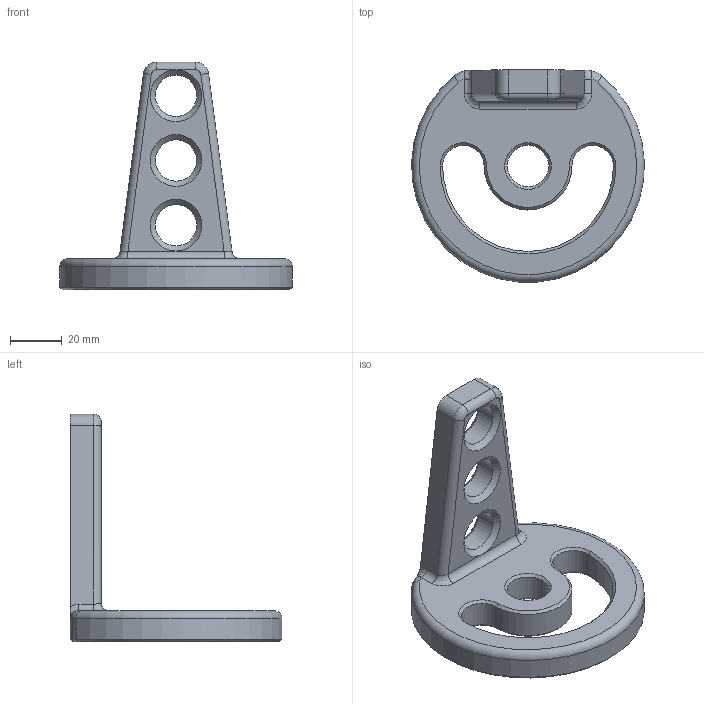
import cadquery as cq
import math

disc_radius = 45.0
disc_thickness = 12.0
back_y = 37.0
back_corner_radius = 10.0
edge_radius = 3.0

hole_radius = 8.0
slot_mid_radius = 25.0
slot_half_width = 8.0
disc_opening_chamfer = 1.0

upright_top_z = 88.0
upright_thickness = 12.0
upright_foot_half_width = 22.0
upright_top_half_width = 12.0
upright_corner_radius = 5.0

hole_pitch = 25.0
hole_count = 3
upright_hole_chamfer = 2.0

rear_allowance = 10.0
selection_margin = 0.1

front_y = back_y - upright_thickness


def make_disc():
    """Disc with its rear flat blended into the round rim."""
    blend_x = math.sqrt((disc_radius - back_corner_radius) ** 2 - (back_y - back_corner_radius) ** 2)
    blend_y = back_y - back_corner_radius
    rim_scale = disc_radius / (disc_radius - back_corner_radius)
    rim_x = blend_x * rim_scale
    rim_y = blend_y * rim_scale
    half_angle = (math.radians(90) + math.atan2(blend_y, blend_x)) / 2
    middle_x = blend_x + back_corner_radius * math.cos(half_angle)
    middle_y = blend_y + back_corner_radius * math.sin(half_angle)
    return (
        cq.Workplane("XY")
        .moveTo(-blend_x, back_y)
        .lineTo(blend_x, back_y)
        .threePointArc((middle_x, middle_y), (rim_x, rim_y))
        .threePointArc((0, -disc_radius), (-rim_x, rim_y))
        .threePointArc((-middle_x, middle_y), (-blend_x, back_y))
        .close()
        .extrude(disc_thickness)
    )


def make_upright_blank():
    """Tapered plate with rounded top corners, reaching down to Z = 0 and past the rear flat."""
    taper = (upright_foot_half_width - upright_top_half_width) / (upright_top_z - disc_thickness)
    base_half_width = upright_foot_half_width + taper * disc_thickness
    return (
        cq.Workplane("XZ", origin=(0, back_y + rear_allowance, 0))
        .moveTo(-base_half_width, 0)
        .lineTo(base_half_width, 0)
        .lineTo(upright_top_half_width, upright_top_z)
        .lineTo(-upright_top_half_width, upright_top_z)
        .close()
        .extrude(upright_thickness + rear_allowance)
        .edges("|Y and >Z")
        .fillet(upright_corner_radius)
    )


def round_upright(body):
    """Roll the front edges of the upright and fill its foot against the rolled disc."""
    front_edges = cq.selectors.BoxSelector(
        (-disc_radius, front_y - selection_margin, disc_thickness - selection_margin),
        (disc_radius, front_y + selection_margin, upright_top_z + selection_margin),
    )
    side_foot_y = (front_y + back_y - edge_radius) / 2
    right_foot = (upright_foot_half_width, side_foot_y, disc_thickness)
    left_foot = (-upright_foot_half_width, side_foot_y, disc_thickness)
    edges = (
        front_edges
        + cq.selectors.NearestToPointSelector(right_foot)
        + cq.selectors.NearestToPointSelector(left_foot)
    )
    return body.edges(edges).fillet(edge_radius)


def trim_rear(body):
    """Cut everything back to the rear flat and, below the rolled rim, to the disc's outline."""
    roll_start_z = disc_thickness - edge_radius
    above_roll_start = (
        cq.Workplane("XY")
        .box(
            2 * disc_radius,
            back_y + disc_radius,
            upright_top_z - roll_start_z,
            centered=(True, False, False),
        )
        .translate((0, -disc_radius, roll_start_z))
    )
    return body.intersect(make_disc().union(above_roll_start))


def cut_disc_openings(body):
    """Centre hole and half-ring slot, chamfered on both faces of the disc."""
    inner_radius = slot_mid_radius - slot_half_width
    outer_radius = slot_mid_radius + slot_half_width
    slot = (
        cq.Workplane("XY")
        .moveTo(-outer_radius, 0)
        .threePointArc((0, -outer_radius), (outer_radius, 0))
        .threePointArc((slot_mid_radius, slot_half_width), (inner_radius, 0))
        .threePointArc((0, -inner_radius), (-inner_radius, 0))
        .threePointArc((-slot_mid_radius, slot_half_width), (-outer_radius, 0))
        .close()
        .extrude(disc_thickness)
    )
    hole = cq.Workplane("XY").circle(hole_radius).extrude(disc_thickness)
    opened = body.cut(slot).cut(hole)
    around_openings = cq.selectors.BoxSelector(
        (-outer_radius - selection_margin, -outer_radius - selection_margin, -selection_margin),
        (outer_radius + selection_margin, slot_half_width + selection_margin, disc_thickness + selection_margin),
    )
    return opened.edges(around_openings).edges("not |Z").chamfer(disc_opening_chamfer)


def cut_upright_holes(body):
    """Row of through holes, each countersunk on both faces of the upright."""
    mouth_radius = hole_radius + upright_hole_chamfer
    for index in range(1, hole_count + 1):
        hole = (
            cq.Workplane("XY", origin=(0, front_y, index * hole_pitch))
            .moveTo(0, 0)
            .lineTo(mouth_radius, 0)
            .lineTo(hole_radius, upright_hole_chamfer)
            .lineTo(hole_radius, upright_thickness - upright_hole_chamfer)
            .lineTo(mouth_radius, upright_thickness)
            .lineTo(0, upright_thickness)
            .close()
            .revolve(360, (0, 0, 0), (0, 1, 0))
        )
        body = body.cut(hole)
    return body


rolled_disc = make_disc().faces(">Z").edges().fillet(edge_radius)
body = round_upright(rolled_disc.union(make_upright_blank()))
body = trim_rear(body)
body = cut_disc_openings(body)
body = cut_upright_holes(body)
result = cq.Workplane(body.solids().val())